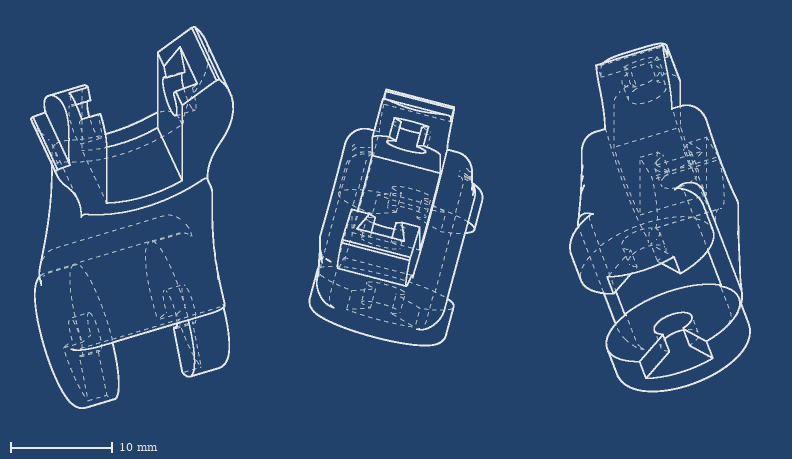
import cadquery as cq
import math


cheek_depth = 15.95
gap_depth = 8.0
disc_radius = 7.0
disc_edge_fillet = 1.0
gap_roof_radius = 7.15
socket_radius = 2.0
socket_depth = 2.0
entry_half_angle = 30
lip_fillet = 0.2

body_width = 13.0
corner_radius = 2.0
flank_start = 21.65
shoulder_radius = 12.05
rim_fillet = 0.3
face_blend_radius = 2.0

pivot_height = 34.95
fork_width = 7.0
arm_radius = fork_width / 2
fork_floor_radius = 10.3
bulge_radius = 10.2
bulge_half_depth = 9.4
fork_top = 40.25
fork_flat_depth = 7.6
slope_foot_height = 37.85
dome_radius = 8.0
ledge_height = 33.5
ledge_tip = 9.15
ledge_tip_height = 33.35
ridge_height = 33.15
ridge_flank_depth = 8.8
ridge_flank_height = 31.2

half_gap = gap_depth / 2
half_cheek = cheek_depth / 2
side_turn = math.radians(30)
curve_rise = bulge_radius * math.sin(side_turn)
curve_inset = bulge_radius * (1 - math.cos(side_turn))
half_neck = bulge_half_depth - 2 * curve_inset
flare_rise = flank_start - disc_radius
flare = half_cheek - half_neck
flank_radius = (flare_rise**2 + flare**2) / (2 * flare)
far = 47.25


def along_y(radius, y_start, y_end, height):
    """Cylinder parallel to Y."""
    axis_start = cq.Vector(0, y_start, height)
    return cq.Workplane(cq.Solid.makeCylinder(radius, y_end - y_start, axis_start, cq.Vector(0, 1, 0)))


def along_x(radius):
    """Cylinder parallel to X, centred at the height of the upper axis."""
    axis_start = cq.Vector(-far, 0, pivot_height)
    return cq.Workplane(cq.Solid.makeCylinder(radius, 2 * far, axis_start, cq.Vector(1, 0, 0)))


def box_between(low, high):
    """Box spanning two opposite corners."""
    size = [b - a for a, b in zip(low, high)]
    return cq.Workplane("XY").box(*size, centered=False).translate(low)


def socket(height, side, opening):
    """Pivot socket and its V mouth, cut outward from the gap; opening is +1 upward or -1 downward."""
    mouth_height = opening * disc_radius
    mouth_half_width = disc_radius * math.tan(math.radians(entry_half_angle))
    mouth = (
        cq.Workplane("XZ")
        .polyline([(0, 0), (mouth_half_width, mouth_height), (-mouth_half_width, mouth_height)])
        .close()
        .extrude(-socket_depth)
    )
    cutter = mouth.union(along_y(socket_radius, 0, socket_depth, 0))
    lip_half_width = socket_radius * math.sin(math.radians(entry_half_angle))
    lip_height = opening * socket_radius * math.cos(math.radians(entry_half_angle))
    for x in (-lip_half_width, lip_half_width):
        lip = cq.selectors.NearestToPointSelector((x, socket_depth / 2, lip_height))
        cutter = cutter.edges("|Y").edges(lip).fillet(lip_fillet)
    y_low = half_gap if side > 0 else -half_gap - socket_depth
    return cutter.translate((0, y_low, height))


def make_body():
    """Flared body whose flanks are turned about the lower axis, with a concave, rounded-rim top."""

    def flank_y(r):
        drop = flank_start - r
        return half_neck + flank_radius - math.sqrt(flank_radius**2 - drop**2)

    r_low = disc_radius / 2
    r_mid = (r_low + flank_start) / 2
    flanks = (
        cq.Workplane("YZ")
        .moveTo(flank_y(r_low), 0)
        .lineTo(flank_y(r_low), r_low)
        .threePointArc((flank_y(r_mid), r_mid), (half_neck, flank_start))
        .lineTo(half_neck, far)
        .lineTo(-half_neck, far)
        .lineTo(-half_neck, flank_start)
        .threePointArc((-flank_y(r_mid), r_mid), (-flank_y(r_low), r_low))
        .lineTo(-flank_y(r_low), 0)
        .close()
        .revolve(360, (0, 0, 0), (1, 0, 0))
    )
    half_width = body_width / 2
    column = flanks.intersect(box_between((-half_width, -far, r_low), (half_width, far, pivot_height)))
    column = column.faces("<X or >X").edges("not |Y").fillet(corner_radius)
    column = column.cut(along_x(shoulder_radius))
    shoulder = cq.selectors.NearestToPointSelector((0, 0, pivot_height - shoulder_radius))
    column = column.faces(shoulder).edges().fillet(rim_fillet)

    wedge = (
        cq.Workplane("XZ")
        .polyline([(0, 0), (far, far), (-far, far)])
        .close()
        .extrude(half_cheek, both=True)
    )
    body = column.intersect(wedge)

    for y in (-half_cheek, half_cheek):
        disc_face = cq.selectors.NearestToPointSelector((0, y, disc_radius / 2))
        body = body.faces(disc_face).edges("not %LINE").fillet(face_blend_radius)
    return body


def make_drum():
    """One solid drum with rounded rims; the gap later splits it into two discs."""
    drum = along_y(disc_radius, -half_cheek, half_cheek, 0)
    return drum.faces("<Y or >Y").edges().fillet(disc_edge_fillet)


def make_fork():
    """Side outline of both arms extruded to the fork width, hollowed and rounded."""
    inflection = (bulge_half_depth - curve_inset, pivot_height - curve_rise)
    root_height = pivot_height - 2 * curve_rise
    flank_mid = (
        half_neck + bulge_radius * (1 - math.cos(side_turn / 2)),
        root_height + bulge_radius * math.sin(side_turn / 2),
    )
    bulge_top_inset = bulge_radius - math.sqrt(bulge_radius**2 - (fork_top - pivot_height) ** 2)
    bulge_top_depth = bulge_half_depth - bulge_top_inset
    arm_top = pivot_height + arm_radius
    dome_top_depth = math.sqrt(dome_radius**2 - arm_radius**2)
    ledge_depth = math.sqrt(dome_radius**2 - (pivot_height - ledge_height) ** 2)
    outline = (
        cq.Workplane("YZ")
        .moveTo(half_neck, flank_start)
        .lineTo(half_neck, root_height)
        .threePointArc(flank_mid, inflection)
        .threePointArc((bulge_half_depth, pivot_height), (bulge_top_depth, fork_top))
        .lineTo(fork_flat_depth, fork_top)
        .lineTo(half_gap, slope_foot_height)
        .lineTo(-half_gap, slope_foot_height)
        .lineTo(-half_gap, arm_top)
        .lineTo(-dome_top_depth, arm_top)
        .threePointArc((-dome_radius, pivot_height), (-ledge_depth, ledge_height))
        .lineTo(-ledge_tip, ledge_tip_height)
        .lineTo(-bulge_half_depth, ridge_height)
        .threePointArc((-ridge_flank_depth, ridge_flank_height), (-inflection[0], inflection[1]))
        .threePointArc((-flank_mid[0], flank_mid[1]), (-half_neck, root_height))
        .lineTo(-half_neck, flank_start)
        .close()
    )
    fork = outline.extrude(fork_width / 2, both=True)

    slot = box_between((-far, -half_gap, pivot_height), (far, half_gap, far))
    floor = along_x(fork_floor_radius).intersect(
        box_between((-far, -half_gap, 0), (far, half_gap, far))
    )
    fork = fork.cut(slot.union(floor))

    crown = box_between((-far, -far, pivot_height), (far, 0, far)).cut(
        along_y(arm_radius, -far, far, pivot_height)
    )
    return fork.cut(crown)


def make_hinge_gap():
    """Space between the lower discs, with a concave roof around the lower axis."""
    open_space = box_between((-far, -half_gap, -far), (far, half_gap, 0))
    return open_space.union(along_y(gap_roof_radius, -half_gap, half_gap, 0))


result = make_body().union(make_drum()).cut(make_hinge_gap()).union(make_fork())
for side in (-1, 1):
    result = result.cut(socket(0, side, -1))
    result = result.cut(socket(pivot_height, side, 1))